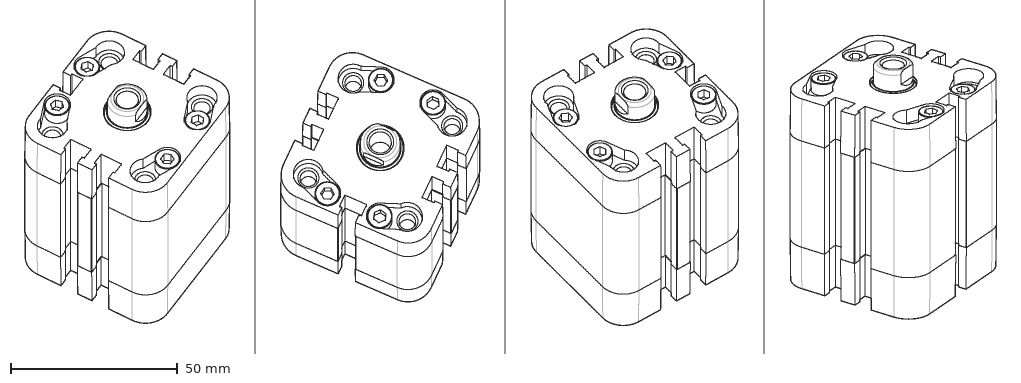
import cadquery as cq
import math


TOTAL_HEIGHT = 70.5
BODY_WIDTH = 49.0
CORNER_RADIUS = 7.8
CAP_HEIGHT = 14.1
ROD_PROJECTION = 6.5
CAP_INSET = 0.175

BODY_TOP = TOTAL_HEIGHT - ROD_PROJECTION
FRONT_JOINT = BODY_TOP - CAP_HEIGHT
BARREL_HEIGHT = FRONT_JOINT - CAP_HEIGHT
HALF_WIDTH = BODY_WIDTH / 2

SLOT_DEPTH = 6.7
LIP_DEPTH = 2.8
PAIR_MOUTH_WIDTH = 16.8
PAIR_CHAMBER_WIDTH = 17.9
RIB_HEAD_WIDTH = 5.1
CAP_RIB_NECK_WIDTH = 3.5
BARREL_RIB_NECK_WIDTH = 3.95
SINGLE_MOUTH_WIDTH = 5.65
SINGLE_CHAMBER_WIDTH = 7.2
BARREL_EDGE_CHAMFER = 0.2

HOLE_OFFSET = 16.3
SCREW_X = 19.4
SCREW_Y = 8.6
POCKET_DEPTH = 4.5
POCKET_WIDTH = 8.0
SPOTFACE_DIAMETER = 9.0
MOUNT_HOLE_DIAMETER = 4.9
MOUNT_HOLE_MOUTH_DIAMETER = 6.35
MOUNT_HOLE_DEPTH = 7.05
SCREW_HEAD_DIAMETER = 7.5
SCREW_HEAD_RECESS = 0.5
SCREW_HEAD_CHAMFER = 0.2
HEX_CORNER_DIAMETER = 4.0
HEX_DEPTH = 3.2
SCREW_PLACES = [(-1, -1, 17), (1, -1, 30), (-1, 1, -8), (1, 1, -6)]

ROD_DIAMETER = 12.0
ROD_TOP_FILLET = 1.05
ROD_FLATS_WIDTH = 10.0
ROD_FLATS_LENGTH = 4.4
ROD_HOLE_DIAMETER = 6.6
ROD_HOLE_MOUTH_DIAMETER = 8.05
ROD_HOLE_DEPTH = 12.0
WIPER_LIP_TOP_DIAMETER = 12.55
WIPER_LIP_BASE_DIAMETER = 13.7
WIPER_GROOVE_DIAMETER = 14.0
WIPER_GROOVE_MOUTH_DIAMETER = 14.3
WIPER_GROOVE_DEPTH = 1.05


def rounded_square(inset):
    """Body outline, moved inwards by the inset."""
    side = BODY_WIDTH - 2 * inset
    return cq.Sketch().rect(side, side).vertices().fillet(CORNER_RADIUS - inset)


def box_between(x_min, x_max, y_min, y_max, z_min, z_max):
    size = (x_max - x_min, y_max - y_min, z_max - z_min)
    return cq.Workplane("XY").box(*size, centered=False).translate((x_min, y_min, z_min))


def slot_cutter(mouth_width, chamber_width, z_min, z_max):
    """T-slot in the -Y side, centred on X = 0."""
    lip = box_between(-mouth_width / 2, mouth_width / 2, -BODY_WIDTH, LIP_DEPTH - HALF_WIDTH, z_min, z_max)
    chamber = box_between(
        -chamber_width / 2,
        chamber_width / 2,
        LIP_DEPTH - HALF_WIDTH,
        SLOT_DEPTH - HALF_WIDTH,
        z_min,
        z_max,
    )
    return lip.union(chamber)


def cut_slots(body, rib_neck_width, z_min, z_max):
    """Cut the single slot, and the two wide slots that each keep a T-shaped rib."""
    single_slot = slot_cutter(SINGLE_MOUTH_WIDTH, SINGLE_CHAMBER_WIDTH, z_min, z_max)
    rib = slot_cutter(RIB_HEAD_WIDTH, rib_neck_width, z_min, z_max)
    slot_pair = slot_cutter(PAIR_MOUTH_WIDTH, PAIR_CHAMBER_WIDTH, z_min, z_max).cut(rib)
    slotted = body.cut(single_slot.rotate((0, 0, 0), (0, 0, 1), -90))
    for angle in (0, 180):
        slotted = slotted.cut(slot_pair.rotate((0, 0, 0), (0, 0, 1), angle))
    return slotted


def make_cap_blank(joint_z, end_z):
    """Slotted cap, widest at the barrel joint and drafted towards its free end."""
    height = end_z - joint_z
    blank = (
        cq.Workplane("XY", origin=(0, 0, joint_z))
        .placeSketch(rounded_square(0), rounded_square(CAP_INSET).moved(cq.Location(cq.Vector(0, 0, height))))
        .loft()
    )
    return cut_slots(blank, CAP_RIB_NECK_WIDTH, min(joint_z, end_z), max(joint_z, end_z))


def countersunk_cutter(diameter, mouth_diameter, depth, z_top):
    """Round blind hole below z_top with a 45 degree chamfer at its mouth."""
    chamfer = (mouth_diameter - diameter) / 2
    profile = [
        (0, 0),
        (mouth_diameter / 2, 0),
        (diameter / 2, -chamfer),
        (diameter / 2, -depth),
        (0, -depth),
    ]
    hole = cq.Workplane("XZ").polyline(profile).close().revolve(360, (0, 0, 0), (0, 1, 0))
    return hole.translate((0, 0, z_top))


def make_corner_pocket(sign_x, sign_y):
    """Screw pocket that runs to the spotface of the mounting hole, with that hole."""
    floor_z = BODY_TOP - POCKET_DEPTH
    hole_x = sign_x * HOLE_OFFSET
    hole_y = sign_y * HOLE_OFFSET
    along_x = hole_x - sign_x * SCREW_X
    along_y = hole_y - sign_y * SCREW_Y
    distance = math.hypot(along_x, along_y)
    direction = math.degrees(math.atan2(along_y, along_x))

    floor = cq.Workplane("XY", origin=(0, 0, floor_z))
    slot = (
        floor.center(hole_x - along_x / 2, hole_y - along_y / 2)
        .slot2D(distance + POCKET_WIDTH, POCKET_WIDTH, direction)
        .extrude(POCKET_DEPTH)
    )
    floor = cq.Workplane("XY", origin=(0, 0, floor_z))
    spotface = floor.center(hole_x, hole_y).circle(SPOTFACE_DIAMETER / 2).extrude(POCKET_DEPTH)
    hole = countersunk_cutter(MOUNT_HOLE_DIAMETER, MOUNT_HOLE_MOUTH_DIAMETER, MOUNT_HOLE_DEPTH, floor_z)
    return slot.union(spotface).union(hole.translate((hole_x, hole_y, 0)))


def make_screw_head(sign_x, sign_y, socket_angle):
    """Socket head standing on the pocket floor."""
    floor_z = BODY_TOP - POCKET_DEPTH
    head_height = POCKET_DEPTH - SCREW_HEAD_RECESS
    head = cq.Workplane("XY").circle(SCREW_HEAD_DIAMETER / 2).extrude(head_height)
    head = head.faces(">Z").chamfer(SCREW_HEAD_CHAMFER)
    head = head.faces(">Z").workplane().polygon(6, HEX_CORNER_DIAMETER).cutBlind(-HEX_DEPTH)
    head = head.rotate((0, 0, 0), (0, 0, 1), socket_angle)
    return head.translate((sign_x * SCREW_X, sign_y * SCREW_Y, floor_z))


def make_wiper_groove():
    """Ring around the rod: a conical lip inside and a chamfered wall outside."""
    mouth_chamfer = (WIPER_GROOVE_MOUTH_DIAMETER - WIPER_GROOVE_DIAMETER) / 2
    profile = [
        (WIPER_LIP_TOP_DIAMETER / 2, 0),
        (WIPER_LIP_BASE_DIAMETER / 2, -WIPER_GROOVE_DEPTH),
        (WIPER_GROOVE_DIAMETER / 2, -WIPER_GROOVE_DEPTH),
        (WIPER_GROOVE_DIAMETER / 2, -mouth_chamfer),
        (WIPER_GROOVE_MOUTH_DIAMETER / 2, 0),
    ]
    groove = cq.Workplane("XZ").polyline(profile).close().revolve(360, (0, 0, 0), (0, 1, 0))
    return groove.translate((0, 0, BODY_TOP))


def make_front_cap():
    cap = make_cap_blank(FRONT_JOINT, BODY_TOP)
    for sign_x, sign_y, socket_angle in SCREW_PLACES:
        cap = cap.cut(make_corner_pocket(sign_x, sign_y))
        cap = cap.union(make_screw_head(sign_x, sign_y, socket_angle))
    rod_bore = cq.Workplane("XY", origin=(0, 0, FRONT_JOINT)).circle(ROD_DIAMETER / 2).extrude(CAP_HEIGHT)
    return cap.cut(rod_bore).cut(make_wiper_groove())


def make_barrel():
    barrel = cq.Workplane("XY", origin=(0, 0, CAP_HEIGHT)).placeSketch(rounded_square(0)).extrude(BARREL_HEIGHT)
    barrel = cut_slots(barrel, BARREL_RIB_NECK_WIDTH, CAP_HEIGHT, FRONT_JOINT)
    single_slot_edges = [(-HALF_WIDTH, side * SINGLE_MOUTH_WIDTH / 2) for side in (-1, 1)]
    rib_edges = [(x * RIB_HEAD_WIDTH / 2, y * HALF_WIDTH) for x in (-1, 1) for y in (-1, 1)]
    mid_z = CAP_HEIGHT + BARREL_HEIGHT / 2
    for x, y in single_slot_edges + rib_edges:
        edge = cq.selectors.NearestToPointSelector((x, y, mid_z))
        barrel = barrel.edges("|Z").edges(edge).chamfer(BARREL_EDGE_CHAMFER)
    return barrel


def make_rod():
    """Piston rod with two wrench flats, a sloped shoulder below each flat and a threaded-end hole."""
    rod = (
        cq.Workplane("XY", origin=(0, 0, FRONT_JOINT))
        .circle(ROD_DIAMETER / 2)
        .extrude(TOTAL_HEIGHT - FRONT_JOINT)
        .faces(">Z")
        .edges()
        .fillet(ROD_TOP_FILLET)
    )
    flat_x = ROD_FLATS_WIDTH / 2
    flat_bottom = TOTAL_HEIGHT - ROD_FLATS_LENGTH
    outer_x = ROD_DIAMETER
    flat_profile = [
        (flat_x, TOTAL_HEIGHT),
        (flat_x, flat_bottom),
        (outer_x, flat_bottom - (outer_x - flat_x)),
        (outer_x, TOTAL_HEIGHT),
    ]
    flat_cutter = cq.Workplane("XZ").polyline(flat_profile).close().extrude(ROD_DIAMETER / 2, both=True)
    rod = rod.cut(flat_cutter).cut(flat_cutter.mirror("YZ"))
    return rod.cut(countersunk_cutter(ROD_HOLE_DIAMETER, ROD_HOLE_MOUTH_DIAMETER, ROD_HOLE_DEPTH, TOTAL_HEIGHT))


rear_cap = make_cap_blank(CAP_HEIGHT, 0)
barrel = make_barrel()
front_cap = make_front_cap()
rod = make_rod()

result = cq.Compound.makeCompound([rear_cap.val(), barrel.val(), front_cap.val(), rod.val()])